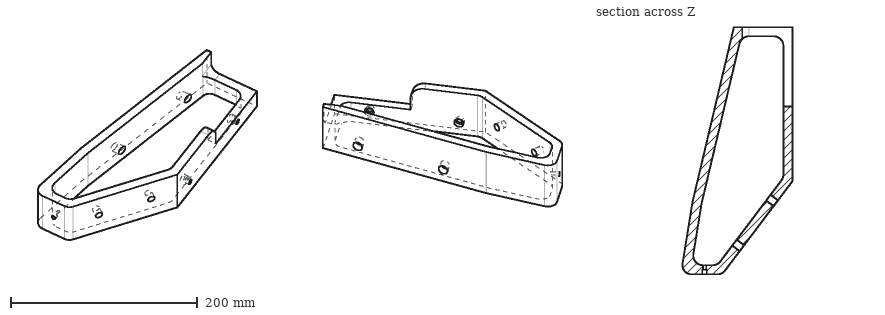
import cadquery as cq
import math

length = 265.0
width = 118.2
height = 55.0
wall = 10.0

back_left_x = 55.0
bend_x = 10.9
bend_y = 78.0
front_left_x = -1.78
front_right_x = 42.7
slant_top_y = 100.2
corner_radius = 10.0

low_wall_height = 25.2
step_y = 180.0
step_radius = 15.0
left_step_x = 61.0
left_step_radius = 10.0

mount_hole_z = 15.0
mount_hole_ys = (127.0, 225.0)
mount_hole_diameter = 5.5
access_hole_diameter = 10.0
counterbore_depth = wall / 2
middle_z = height / 2
front_hole_x = 23.8
front_hole_diameter = 3.2
front_counterbore_diameter = 4.5
slant_hole_xs = (63.9, 100.2)
slant_hole_diameter = 7.7

outer_points = [
    (front_left_x, 0),
    (front_right_x, 0),
    (width, slant_top_y),
    (width, length),
    (back_left_x, length),
    (bend_x, bend_y),
]
outer_radii = [corner_radius, corner_radius, 0, 0, 0, corner_radius]
inner_radii = [corner_radius, corner_radius, corner_radius, corner_radius, corner_radius, 0]


def inset_loop(points, distance):
    """Corners of a counter-clockwise loop moved inward by a distance."""
    corners = []
    for i, (x, y) in enumerate(points):
        before = points[i - 1]
        after = points[(i + 1) % len(points)]
        angle_in = math.atan2(y - before[1], x - before[0])
        angle_out = math.atan2(after[1] - y, after[0] - x)
        bisector = angle_in + (angle_out - angle_in) % (2 * math.pi) / 2 + math.pi / 2
        reach = distance / math.cos(bisector - math.pi / 2 - angle_in)
        corners.append((x + reach * math.cos(bisector), y + reach * math.sin(bisector)))
    return corners


def rounded_prism(points, radii):
    """Extrude a loop with each corner rounded to its radius; zero keeps it sharp."""
    corners = [cq.Vector(x, y) for x, y in points]
    edges = []
    arc_ends = []
    for i, corner in enumerate(corners):
        to_before = (corners[i - 1] - corner).normalized()
        to_after = (corners[(i + 1) % len(corners)] - corner).normalized()
        half_angle = to_before.getAngle(to_after) / 2
        tangent_length = radii[i] / math.tan(half_angle)
        arc_start = corner + to_before * tangent_length
        arc_end = corner + to_after * tangent_length
        if radii[i] > 0:
            to_center = (to_before + to_after).normalized()
            arc_middle = corner + to_center * (radii[i] / math.sin(half_angle) - radii[i])
            edges.append(cq.Edge.makeThreePointArc(arc_start, arc_middle, arc_end))
        arc_ends.append((arc_start, arc_end))
    for i, (arc_start, _) in enumerate(arc_ends):
        edges.append(cq.Edge.makeLine(arc_ends[i - 1][1], arc_start))
    outline = cq.Wire.combine(edges)[0]
    return cq.Workplane(cq.Solid.extrudeLinear(outline, [], cq.Vector(0, 0, height)))


def cylinder(start, direction, diameter, depth):
    return cq.Workplane(cq.Solid.makeCylinder(diameter / 2, depth, cq.Vector(*start), cq.Vector(*direction)))


def make_loop():
    outer = rounded_prism(outer_points, outer_radii)
    inner = rounded_prism(inset_loop(outer_points, wall), inner_radii)
    return outer.cut(inner)


def lower_back_walls(body):
    """Cut down the back wall and the far part of the right wall."""
    back_cut = (
        cq.Workplane("XZ", origin=(0, length, 0))
        .moveTo(left_step_x, height)
        .lineTo(left_step_x, low_wall_height + left_step_radius)
        .radiusArc((left_step_x + left_step_radius, low_wall_height), -left_step_radius)
        .lineTo(width, low_wall_height)
        .lineTo(width, height)
        .close()
        .extrude(2 * wall)
    )
    right_cut = (
        cq.Workplane("YZ", origin=(width - 2 * wall, 0, 0))
        .moveTo(length, low_wall_height)
        .lineTo(step_y, low_wall_height)
        .lineTo(step_y, height - step_radius)
        .radiusArc((step_y - step_radius, height), -step_radius)
        .lineTo(length, height)
        .close()
        .extrude(2 * wall)
    )
    return body.cut(back_cut).cut(right_cut)


def drill_mount_holes(body):
    """Counterbored screw holes in the right wall, each with a driver access hole in the left wall."""
    inner_face_x = width - wall
    counterbore_end_x = inner_face_x + counterbore_depth
    for y in mount_hole_ys:
        body = body.cut(cylinder((0, y, mount_hole_z), (1, 0, 0), access_hole_diameter, counterbore_end_x))
        body = body.cut(cylinder((inner_face_x, y, mount_hole_z), (1, 0, 0), mount_hole_diameter, wall))
    return body


def drill_front_hole(body):
    """Small counterbored hole in the short front wall."""
    start = (front_hole_x, 0, middle_z)
    inward = (0, 1, 0)
    body = body.cut(cylinder(start, inward, front_counterbore_diameter, counterbore_depth))
    return body.cut(cylinder(start, inward, front_hole_diameter, wall))


def drill_slant_holes(body):
    """Holes square to the slanted wall."""
    run = width - front_right_x
    slope = slant_top_y / run
    inward = cq.Vector(-slope, 1, 0).normalized()
    for x in slant_hole_xs:
        surface = cq.Vector(x, slope * (x - front_right_x), middle_z)
        start = surface - inward * wall
        body = body.cut(cylinder(start.toTuple(), inward.toTuple(), slant_hole_diameter, 3 * wall))
    return body


result = make_loop()
result = lower_back_walls(result)
result = drill_mount_holes(result)
result = drill_front_hole(result)
result = drill_slant_holes(result)